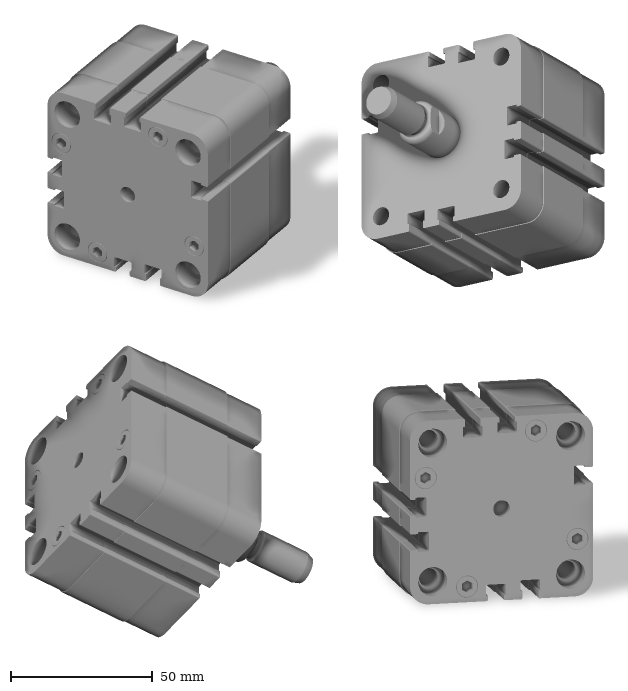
import cadquery as cq
import math

total_length = 97.0
body_length = 55.5
cap_length = 14.7
barrel_length = body_length - 2 * cap_length

barrel_width = 67.0
cap_inset = 0.3
cap_width = barrel_width - 2 * cap_inset
corner_radius = 6.7

shallow_slot = (2.0, 2.2, 5.9)
deep_slot = (-10.5, 3.2, 6.9)
neck_width = 5.4
undercut_width = 6.8
cap_slot_clearance = 0.3
mouth_radius = 0.5
slot_floor_radius = 0.4
deep_slot_turns = (0, 90, 180, 270)
shallow_slot_turns = (0, 90, 180)

mount_offset = 25.0
mount_diameter = 6.7
counterbore_diameter = 10.5
counterbore_depth = 6.6

screw_x = 12.5
screw_z = 27.5
recess_diameter = 8.0
head_diameter = 7.5
recess_depth = 0.5
hex_across_flats = 3.8
hex_depth = 2.4

center_hole_diameter = 6.0
center_hole_depth = 4.85

rod_diameter = 16.0
rod_length = 17.5
rod_end_radius = 1.8
flat_width = 13.0
flat_length = 5.5
relief_diameter = 10.0
relief_length = 2.4
thread_diameter = 12.0
thread_start_chamfer = 0.6
tip_diameter = 10.3
tip_length = 2.7


def prism(sketch, length):
    """Extrude a sketch lying in an XZ plane toward +Y."""
    return sketch.extrude(-length)


def end_plane(y):
    return cq.Workplane("XZ", origin=(0, y, 0))


def turned(shape, angle):
    """Rotate about the cylinder axis."""
    return shape.rotate((0, 0, 0), (0, -1, 0), angle)


def t_slot(slot, width, clearance, y, length):
    """T-slot cutter for the +Z side, with rounded mouth edges and floor corners."""
    offset, neck_depth, floor_depth = slot
    side = width / 2
    ledge = barrel_width / 2 - neck_depth
    floor = barrel_width / 2 - floor_depth - clearance
    neck_half = (neck_width + clearance) / 2
    mouth_half = neck_half + mouth_radius
    mouth_start = side - mouth_radius
    bow = mouth_radius * (1 - math.sqrt(0.5))

    neck = prism(
        end_plane(y)
        .moveTo(offset - neck_half, floor)
        .lineTo(offset - neck_half, mouth_start)
        .threePointArc((offset - neck_half - bow, side - bow), (offset - mouth_half, side))
        .lineTo(offset + mouth_half, side)
        .threePointArc((offset + neck_half + bow, side - bow), (offset + neck_half, mouth_start))
        .lineTo(offset + neck_half, floor)
        .close(),
        length,
    )
    undercut = prism(
        end_plane(y).center(offset, (ledge + floor) / 2).rect(undercut_width + clearance, ledge - floor),
        length,
    ).edges("|Y and <Z").fillet(slot_floor_radius)
    return neck.union(undercut)


def body_section(width, clearance, y, length):
    """Rounded square block with its T-slots."""
    block = prism(end_plane(y).rect(width, width), length).edges("|Y").fillet(corner_radius)
    for slot, turns in ((deep_slot, deep_slot_turns), (shallow_slot, shallow_slot_turns)):
        cutter = t_slot(slot, width, clearance, y, length)
        for angle in turns:
            block = block.cut(turned(cutter, angle))
    return block


def mounting_holes():
    span = 2 * mount_offset
    through = prism(end_plane(0).rect(span, span, forConstruction=True).vertices()
                    .circle(mount_diameter / 2), body_length)
    counterbore = prism(end_plane(0).rect(span, span, forConstruction=True).vertices()
                        .circle(counterbore_diameter / 2), counterbore_depth)
    return through.union(counterbore)


def screw_cuts():
    """Ring gap around each screw head and its hexagon socket, points up and down."""
    hex_diameter = hex_across_flats / math.cos(math.pi / 6)
    cuts = cq.Workplane("XZ")
    for x, z in (
        (screw_x, screw_z),
        (-screw_z, screw_x),
        (-screw_x, -screw_z),
        (screw_z, -screw_x),
    ):
        ring = prism(end_plane(0).center(x, z).circle(recess_diameter / 2)
                     .circle(head_diameter / 2), recess_depth)
        socket = prism(end_plane(0).polygon(6, hex_diameter), hex_depth)
        socket = turned(socket, 90).translate((x, 0, z))
        cuts = cuts.union(ring).union(socket)
    return cuts


def piston_rod():
    shoulder = body_length + rod_length
    rod = prism(end_plane(body_length).circle(rod_diameter / 2), rod_length)
    rod = rod.faces(">Y").edges().fillet(rod_end_radius)

    flat_half = flat_width / 2
    run_out = rod_diameter / 2 - flat_half
    flat_start = shoulder - flat_length
    flat = (
        cq.Workplane("XY")
        .moveTo(flat_half, shoulder)
        .lineTo(flat_half, flat_start)
        .lineTo(flat_half + 2 * run_out, flat_start - 2 * run_out)
        .lineTo(flat_half + 2 * run_out, shoulder)
        .close()
        .extrude(rod_diameter / 2, both=True)
    )
    rod = rod.cut(flat).cut(turned(flat, 180))

    thread_start = shoulder + relief_length
    threaded_end = (
        cq.Workplane("XY")
        .moveTo(0, shoulder)
        .lineTo(relief_diameter / 2, shoulder)
        .lineTo(relief_diameter / 2, thread_start)
        .lineTo(thread_diameter / 2, thread_start + thread_start_chamfer)
        .lineTo(thread_diameter / 2, total_length - tip_length)
        .lineTo(tip_diameter / 2, total_length)
        .lineTo(0, total_length)
        .close()
        .revolve(360, (0, 0, 0), (0, 1, 0))
    )
    return rod.union(threaded_end)


cap = body_section(cap_width, cap_slot_clearance, 0, cap_length)
barrel = body_section(barrel_width, 0, cap_length, barrel_length)
center_hole = prism(end_plane(0).circle(center_hole_diameter / 2), center_hole_depth)

result = cap.union(barrel).union(cap.translate((0, cap_length + barrel_length, 0)))
result = result.cut(mounting_holes()).cut(center_hole).cut(screw_cuts())
result = result.union(piston_rod())